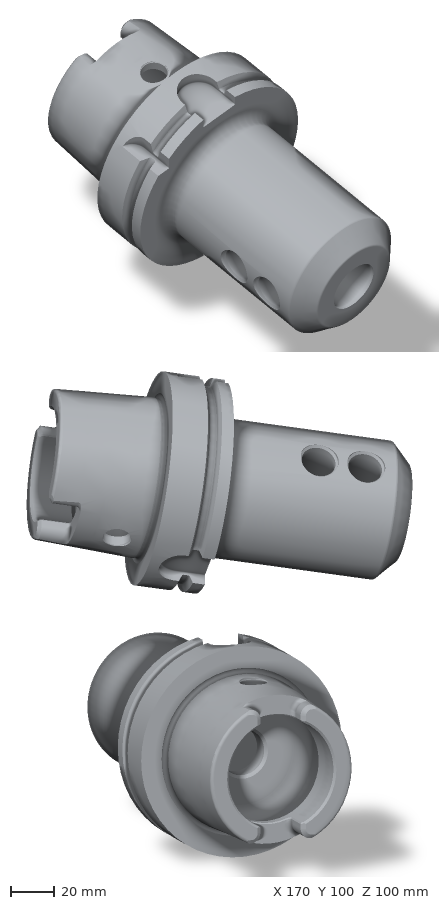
import cadquery as cq
import math

TOTAL_LENGTH = 170.0
TAPER_LENGTH = 50.0
FLANGE_LENGTH = 29.0
FLANGE_END = TAPER_LENGTH + FLANGE_LENGTH
CLEARANCE = 1.7
TOLERANCE = 0.002
CUT_END_X = FLANGE_END + CLEARANCE

TAPER_BIG_RADIUS = 37.5
TAPER_RELIEF_X = 47.3
TAPER_RATIO = 1 / 20
MOUTH_RADIUS = TAPER_BIG_RADIUS - TAPER_RELIEF_X * TAPER_RATIO
MOUTH_ROUND = 1.5
RELIEF_DEPTH = 0.3
RELIEF_RUN = 1.0
UNDERCUT_RADIUS = 1.4
UNDERCUT_CENTER_X = TAPER_LENGTH - 0.7

FLANGE_RADIUS = 50.0
GROOVE_CENTER_X = 70.0
GROOVE_RADIUS = 46.0
GROOVE_RIM_WIDTH = 6.6
GROOVE_FLOOR_WIDTH = 3.2
GROOVE_ROUND = 0.7

SHANK_RADIUS = 32.5
SHANK_FILLET = 5.0
NOSE_RADIUS = 23.0
NOSE_LENGTH = 9.4
NOSE_ROUND = 1.4

MOUTH_BORE_RADIUS = 26.2
MOUTH_CHAMFER = 1.0
CLAMP_LIP_X = 19.4
CLAMP_RADIUS = 31.8
CLAMP_CONE_ANGLE = 60.0
TUBE_BORE_DEPTH = 47.6
TUBE_FLOOR_FILLET = 7.1
CENTER_HOLE_RADIUS = 10.9
CENTER_HOLE_CHAMFER = 1.4
CENTER_HOLE_DEPTH = 10.2
TOOL_BORE_RADIUS = 12.5
TOOL_BORE_DEPTH = 56.1

CROSS_HOLE_X = 35.0
CROSS_HOLE_RADIUS = 6.3
CROSS_HOLE_SINK_RADIUS = 6.6
SCREW_HOLE_X = (123.8, 145.9)
SCREW_HOLE_RADIUS = 8.0
SCREW_SINK_RADIUS = 9.0

KEYWAY_HALF_WIDTH = 10.0
KEYWAY_FLARE_RADIUS = 5.0
KEYWAY_FLARE_Z = 26.9
KEYWAY_DEPTH_TOP = 9.7
KEYWAY_DEPTH_BOTTOM = 15.0
KEYWAY_FLOOR_FILLET = 2.0
KEYWAY_BORE_CHAMFER = 0.5
KEYWAY_CHAMFER_WIDTH = 2.0
KEYWAY_CHAMFER_DEPTH = 1.5

SLOT_HALF_WIDTH = 10.0
SLOT_START_X = 55.0
SLOT_FLOOR_Z = 43.5
SLOT_FLOOR_FILLET = 0.5
NOTCH_START_X = 54.7
NOTCH_OFFSET = 31.8
NOTCH_CUTTER_RADIUS = 8.0


def revolve_about_x(profile):
    return profile.revolve(360, (0, 0, 0), (1, 0, 0))


def body():
    """Outer shape as one revolved profile, X along the axis and Y as the radius."""
    relief_radius = TAPER_BIG_RADIUS - RELIEF_DEPTH
    undercut_center_y = relief_radius + UNDERCUT_RADIUS
    exit_x = TAPER_LENGTH - UNDERCUT_CENTER_X
    undercut_exit_y = undercut_center_y + math.sqrt(UNDERCUT_RADIUS**2 - exit_x**2)
    nose_start = TOTAL_LENGTH - NOSE_LENGTH
    profile = (
        cq.Workplane("XY")
        .moveTo(0, 0)
        .lineTo(0, MOUTH_RADIUS)
        .lineTo(TAPER_RELIEF_X, TAPER_BIG_RADIUS)
        .lineTo(TAPER_RELIEF_X + RELIEF_RUN, relief_radius)
        .lineTo(UNDERCUT_CENTER_X, relief_radius)
        .threePointArc(
            (UNDERCUT_CENTER_X + UNDERCUT_RADIUS, undercut_center_y),
            (TAPER_LENGTH, undercut_exit_y),
        )
        .lineTo(TAPER_LENGTH, FLANGE_RADIUS)
        .lineTo(FLANGE_END, FLANGE_RADIUS)
        .lineTo(FLANGE_END, SHANK_RADIUS + SHANK_FILLET)
        .radiusArc((FLANGE_END + SHANK_FILLET, SHANK_RADIUS), -SHANK_FILLET)
        .lineTo(nose_start, SHANK_RADIUS)
        .lineTo(TOTAL_LENGTH, NOSE_RADIUS)
        .lineTo(TOTAL_LENGTH, 0)
        .close()
    )
    nose_edges = cq.selectors.BoxSelector(
        (nose_start - NOSE_ROUND, -NOSE_ROUND, -NOSE_ROUND),
        (TOTAL_LENGTH + NOSE_ROUND, NOSE_ROUND, NOSE_ROUND),
    )
    solid = revolve_about_x(profile).faces("<X").edges().fillet(MOUTH_ROUND)
    return solid.edges(nose_edges).fillet(NOSE_ROUND)


def tube_bore():
    """Bore of the hollow taper, opening out behind the clamping lip."""
    cone_length = (CLAMP_RADIUS - MOUTH_BORE_RADIUS) / math.tan(math.radians(CLAMP_CONE_ANGLE))
    profile = (
        cq.Workplane("XY")
        .moveTo(0, 0)
        .lineTo(0, MOUTH_BORE_RADIUS + MOUTH_CHAMFER)
        .lineTo(MOUTH_CHAMFER, MOUTH_BORE_RADIUS)
        .lineTo(CLAMP_LIP_X, MOUTH_BORE_RADIUS)
        .lineTo(CLAMP_LIP_X + cone_length, CLAMP_RADIUS)
        .lineTo(TUBE_BORE_DEPTH - TUBE_FLOOR_FILLET, CLAMP_RADIUS)
        .radiusArc((TUBE_BORE_DEPTH, CLAMP_RADIUS - TUBE_FLOOR_FILLET), TUBE_FLOOR_FILLET)
        .lineTo(TUBE_BORE_DEPTH, 0)
        .close()
    )
    return revolve_about_x(profile)


def center_hole():
    """Blind hole in the bottom of the tube bore, chamfered at its mouth."""
    profile = (
        cq.Workplane("XY")
        .moveTo(TUBE_BORE_DEPTH, 0)
        .lineTo(TUBE_BORE_DEPTH, CENTER_HOLE_RADIUS + CENTER_HOLE_CHAMFER)
        .lineTo(TUBE_BORE_DEPTH + CENTER_HOLE_CHAMFER, CENTER_HOLE_RADIUS)
        .lineTo(TUBE_BORE_DEPTH + CENTER_HOLE_DEPTH, CENTER_HOLE_RADIUS)
        .lineTo(TUBE_BORE_DEPTH + CENTER_HOLE_DEPTH, 0)
        .close()
    )
    return revolve_about_x(profile)


def gripper_groove():
    """V groove around the flange with a flat, round-cornered floor."""
    rim = GROOVE_RIM_WIDTH / 2
    floor = GROOVE_FLOOR_WIDTH / 2
    profile = (
        cq.Workplane("XY")
        .moveTo(GROOVE_CENTER_X - rim, FLANGE_RADIUS)
        .lineTo(GROOVE_CENTER_X - floor, GROOVE_RADIUS)
        .lineTo(GROOVE_CENTER_X + floor, GROOVE_RADIUS)
        .lineTo(GROOVE_CENTER_X + rim, FLANGE_RADIUS)
        .close()
    )
    ring = revolve_about_x(profile)
    floor_corners = cq.selectors.RadiusNthSelector(0)
    return ring.edges("%CIRCLE").edges(floor_corners).fillet(GROOVE_ROUND)


def tool_bore():
    """Plain bore for the tool shank, from the nose."""
    bottom = cq.Workplane("YZ", origin=(TOTAL_LENGTH - TOOL_BORE_DEPTH, 0, 0))
    return bottom.circle(TOOL_BORE_RADIUS).extrude(TOOL_BORE_DEPTH)


def radial_hole(x, wall_radius, hole_radius, sink_radius):
    """Hole from the -Y side to the axis, sunk into the round wall and chamfered at its mouth."""
    sink_floor = math.sqrt(wall_radius**2 - sink_radius**2)
    cone_depth = sink_radius - hole_radius
    profile = (
        cq.Workplane("XY", origin=(x, 0, 0))
        .lineTo(hole_radius, 0)
        .lineTo(hole_radius, cone_depth - sink_floor)
        .lineTo(sink_radius, -sink_floor)
        .lineTo(sink_radius, -wall_radius - CLEARANCE)
        .lineTo(0, -wall_radius - CLEARANCE)
        .close()
    )
    return profile.revolve(360, (0, 0, 0), (0, 1, 0))


def screw_hole(x):
    """Clamping screw hole into the tool bore."""
    return radial_hole(x, SHANK_RADIUS, SCREW_HOLE_RADIUS, SCREW_SINK_RADIUS)


def cross_hole(side):
    """Hole through one wall of the hollow taper, along Z."""
    wall_radius = MOUTH_RADIUS + CROSS_HOLE_X * TAPER_RATIO
    hole = radial_hole(CROSS_HOLE_X, wall_radius, CROSS_HOLE_RADIUS, CROSS_HOLE_SINK_RADIUS)
    return hole.rotate((0, 0, 0), (1, 0, 0), -90 * side)


def keyway_outline(side, x, grow):
    """Keyway cross-section at x, widened by `grow`; its walls flare out in quarter arcs."""
    half_width = KEYWAY_HALF_WIDTH + grow
    flare_radius = KEYWAY_FLARE_RADIUS - grow
    flare_half_width = half_width + flare_radius
    flare_top = side * (KEYWAY_FLARE_Z + flare_radius)
    flare_start = side * KEYWAY_FLARE_Z
    return (
        cq.Workplane("YZ", origin=(x, 0, 0))
        .moveTo(-half_width, 0)
        .lineTo(-half_width, flare_start)
        .radiusArc((-flare_half_width, flare_top), -side * flare_radius)
        .lineTo(-FLANGE_RADIUS, flare_top)
        .lineTo(-FLANGE_RADIUS, side * FLANGE_RADIUS)
        .lineTo(FLANGE_RADIUS, side * FLANGE_RADIUS)
        .lineTo(FLANGE_RADIUS, flare_top)
        .lineTo(flare_half_width, flare_top)
        .radiusArc((half_width, flare_start), -side * flare_radius)
        .lineTo(half_width, 0)
        .close()
    )


def keyway(side, depth):
    """Drive keyway across the tube wall, with a filleted floor and chamfered mouth edges."""
    slot = keyway_outline(side, 0, 0).extrude(depth)
    slot = slot.faces(">X").edges().fillet(KEYWAY_FLOOR_FILLET)
    wide = keyway_outline(side, 0, KEYWAY_CHAMFER_WIDTH).wires().val()
    narrow = keyway_outline(side, KEYWAY_CHAMFER_DEPTH, 0).wires().val()
    return slot.union(cq.Workplane(cq.Solid.makeLoft([wide, narrow], True)))


def drive_slot(side):
    """Round-ended slot in the flange, open towards the shank, with a filleted floor."""
    arc_x = SLOT_START_X + SLOT_HALF_WIDTH
    outline = (
        cq.Workplane("XY", origin=(0, 0, side * SLOT_FLOOR_Z))
        .moveTo(CUT_END_X, -SLOT_HALF_WIDTH)
        .lineTo(arc_x, -SLOT_HALF_WIDTH)
        .threePointArc((SLOT_START_X, 0), (arc_x, SLOT_HALF_WIDTH))
        .lineTo(CUT_END_X, SLOT_HALF_WIDTH)
        .close()
    )
    slot = outline.extrude(side * (FLANGE_RADIUS - SLOT_FLOOR_Z + CLEARANCE))
    floor = "<Z" if side > 0 else ">Z"
    return slot.faces(floor).edges().fillet(SLOT_FLOOR_FILLET)


def corner_notch():
    """Orientation notch between the +Z and -Y sides of the flange, with a round end."""
    arc_x = NOTCH_START_X + NOTCH_CUTTER_RADIUS
    arc_y = -NOTCH_OFFSET - NOTCH_CUTTER_RADIUS
    outline = (
        cq.Workplane("XY", origin=(0, 0, NOTCH_OFFSET))
        .moveTo(CUT_END_X, -NOTCH_OFFSET)
        .lineTo(arc_x, -NOTCH_OFFSET)
        .radiusArc((NOTCH_START_X, arc_y), -NOTCH_CUTTER_RADIUS)
        .lineTo(NOTCH_START_X, -FLANGE_RADIUS)
        .lineTo(CUT_END_X, -FLANGE_RADIUS)
        .close()
    )
    notch = outline.extrude(FLANGE_RADIUS - NOTCH_OFFSET)
    return notch.faces("<Z").edges().fillet(SLOT_FLOOR_FILLET)


def keyway_bore_edges(part):
    """Edges where the keyways break into the tube bore behind its mouth chamfer."""
    def on_bore(vertex):
        return abs(math.hypot(vertex.Y, vertex.Z) - MOUTH_BORE_RADIUS) < TOLERANCE

    def in_keyways(edge):
        x = edge.Center().x
        return MOUTH_CHAMFER + TOLERANCE < x < CLAMP_LIP_X - TOLERANCE

    def off_seam(edge):
        return edge.geomType() != "LINE" or abs(edge.Center().y) < MOUTH_BORE_RADIUS - CLEARANCE

    edges = part.edges().filter(in_keyways).filter(off_seam)
    return edges.filter(lambda edge: all(on_bore(vertex) for vertex in edge.Vertices()))


result = body()

for axial_cut in (tube_bore(), center_hole(), tool_bore(), gripper_groove()):
    result = result.cut(axial_cut)

for screw_x in SCREW_HOLE_X:
    result = result.cut(screw_hole(screw_x))

for side, keyway_depth in ((1, KEYWAY_DEPTH_TOP), (-1, KEYWAY_DEPTH_BOTTOM)):
    result = result.cut(keyway(side, keyway_depth)).cut(drive_slot(side)).cut(cross_hole(side))

result = result.cut(corner_notch())
result = keyway_bore_edges(result).chamfer(KEYWAY_BORE_CHAMFER)